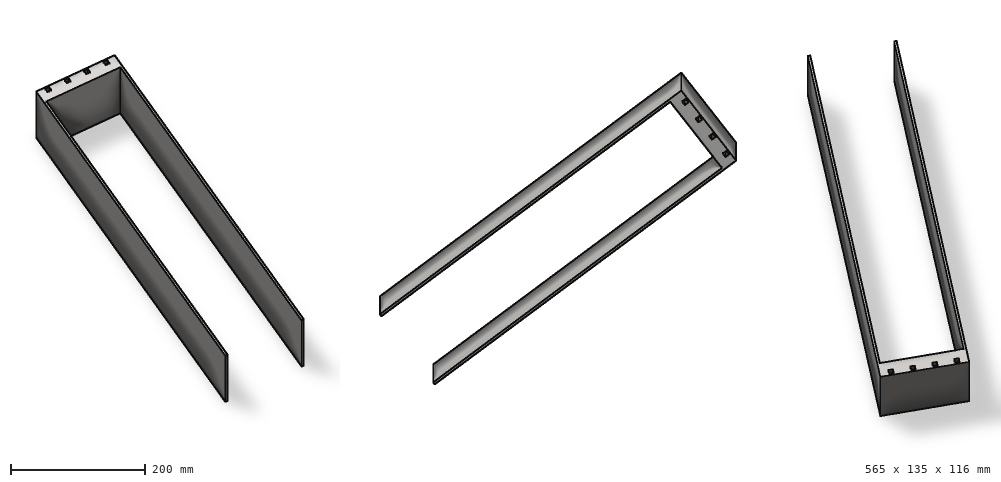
import cadquery as cq

length = 565.0
width = 135.0
height = 116.0

plate_thickness = 4.0
block_depth = 24.0

hole_count = 4
hole_side = 7.0
hole_pitch = 33.5
hole_wall = 2.55


def make_channel():
    """U-shaped body, open at the +X end, with its outer end face at X = 0."""
    body = cq.Workplane("XY").box(length, width, height, centered=(False, True, False))
    gap = (
        cq.Workplane("XY")
        .box(length - block_depth, width - 2 * plate_thickness, height, centered=(False, True, False))
        .translate((block_depth, 0, 0))
    )
    return body.cut(gap)


def make_holes():
    """Square prisms running the full height, spaced evenly about Y = 0."""
    return (
        cq.Workplane("XY")
        .center(hole_wall + hole_side / 2, 0)
        .rarray(5.5, hole_pitch, 1, hole_count)
        .rect(hole_side, hole_side)
        .extrude(height)
    )


result = make_channel().cut(make_holes())